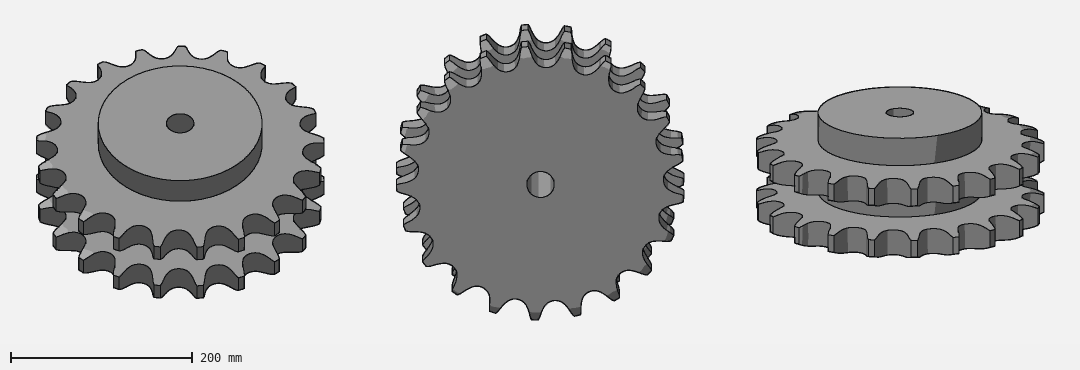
import cadquery as cq
import math

tooth_count = 21
pitch_diameter = 298.2
tip_diameter = 317.0
roller_diameter = 28.0
seat_radius = 14.0

disc_width = 28.8
disc_spacing = 59.5
hub_diameter = 180.0
bore_diameter = 30.0
total_height = 120.0

tooth_step = 2 * math.pi / tooth_count
tip_radius = tip_diameter / 2
chain_pitch = pitch_diameter * math.sin(tooth_step / 2)

working_factor = 1.3
inner_center_factor = 0.8
outer_center_factor = 1.4
seat_angle = math.radians(90 - (35 + 60 / tooth_count))
working_angle = math.radians(18 - 56 / tooth_count)
topping_angle = math.radians(17 - 64 / tooth_count)
working_radius = working_factor * roller_diameter
topping_radius = roller_diameter * (
    inner_center_factor * math.cos(working_angle)
    + outer_center_factor * math.cos(topping_angle)
    - working_factor
)
straight_length = roller_diameter * (
    outer_center_factor * math.sin(topping_angle)
    - inner_center_factor * math.sin(working_angle)
)

side_rounding_radius = chain_pitch
side_rounding_depth = 20.0


def around(center, radius, angle):
    """Point on a circle, with the angle measured counterclockwise from straight down."""
    return (center[0] + radius * math.sin(angle), center[1] - radius * math.cos(angle))


def rotated(point, angle):
    """Turn a point about the sprocket axis."""
    x, y = point
    return (
        x * math.cos(angle) - y * math.sin(angle),
        x * math.sin(angle) + y * math.cos(angle),
    )


def mirrored(point):
    """Reflect a point across the center line of the first gap."""
    return (-point[0], point[1])


def topping_arc(start, heading):
    """Middle and end of the convex arc that runs from start out to the tip circle."""
    center = around(start, topping_radius, heading)
    center_distance = math.hypot(*center)
    corner_cosine = (tip_radius**2 - center_distance**2 - topping_radius**2) / (
        2 * center_distance * topping_radius
    )
    center_direction = math.pi - math.atan2(center[0], center[1])
    start_angle = math.pi + heading
    end_angle = center_direction + math.acos(corner_cosine)
    middle = around(center, topping_radius, (start_angle + end_angle) / 2)
    return middle, around(center, topping_radius, end_angle)


def tooth_outline():
    """Closed outline of all teeth, gap by gap; the first gap is centered on +Y."""
    seat_center = (0, pitch_diameter / 2)
    seat_bottom = around(seat_center, seat_radius, 0)
    seat_end = around(seat_center, seat_radius, seat_angle)

    working_center = around(seat_end, -working_radius, seat_angle)
    heading = seat_angle + working_angle
    working_middle = around(working_center, working_radius, seat_angle + working_angle / 2)
    working_end = around(working_center, working_radius, heading)

    straight_end = (
        working_end[0] + straight_length * math.cos(heading),
        working_end[1] + straight_length * math.sin(heading),
    )
    topping_middle, tip_corner = topping_arc(straight_end, heading)
    tip_middle = rotated((0, tip_radius), -tooth_step / 2)
    next_tip_corner = rotated(mirrored(tip_corner), -tooth_step)

    outline = cq.Workplane("XY").moveTo(*mirrored(tip_corner))
    for gap in range(tooth_count):
        turn = -gap * tooth_step
        outline = outline.threePointArc(
            rotated(mirrored(topping_middle), turn), rotated(mirrored(straight_end), turn)
        )
        outline = outline.lineTo(*rotated(mirrored(working_end), turn))
        outline = outline.threePointArc(
            rotated(mirrored(working_middle), turn), rotated(mirrored(seat_end), turn)
        )
        outline = outline.threePointArc(rotated(seat_bottom, turn), rotated(seat_end, turn))
        outline = outline.threePointArc(rotated(working_middle, turn), rotated(working_end, turn))
        outline = outline.lineTo(*rotated(straight_end, turn))
        outline = outline.threePointArc(rotated(topping_middle, turn), rotated(tip_corner, turn))
        outline = outline.threePointArc(rotated(tip_middle, turn), rotated(next_tip_corner, turn))
    return outline.close()


def side_drop(depth):
    """How far a rounded side has fallen at a radial distance past the flat face."""
    return side_rounding_radius - math.sqrt(side_rounding_radius**2 - depth**2)


def rounded_blank():
    """Disc whose two faces curve inward toward the rim."""
    rim_drop = side_drop(side_rounding_depth)
    middle_drop = side_drop(side_rounding_depth / 2)
    face_radius = tip_radius - side_rounding_depth
    middle_radius = tip_radius - side_rounding_depth / 2
    return (
        cq.Workplane("XZ")
        .lineTo(face_radius, 0)
        .threePointArc((middle_radius, middle_drop), (tip_radius, rim_drop))
        .lineTo(tip_radius, disc_width - rim_drop)
        .threePointArc((middle_radius, disc_width - middle_drop), (face_radius, disc_width))
        .lineTo(0, disc_width)
        .close()
        .revolve(360, (0, 0, 0), (0, 1, 0))
    )


toothed_disc = tooth_outline().extrude(disc_width).intersect(rounded_blank())
hub = cq.Workplane("XY").circle(hub_diameter / 2).extrude(total_height)
bore = cq.Workplane("XY").circle(bore_diameter / 2).extrude(total_height)

result = (
    hub.union(toothed_disc)
    .union(toothed_disc.translate((0, 0, disc_spacing)))
    .cut(bore)
)